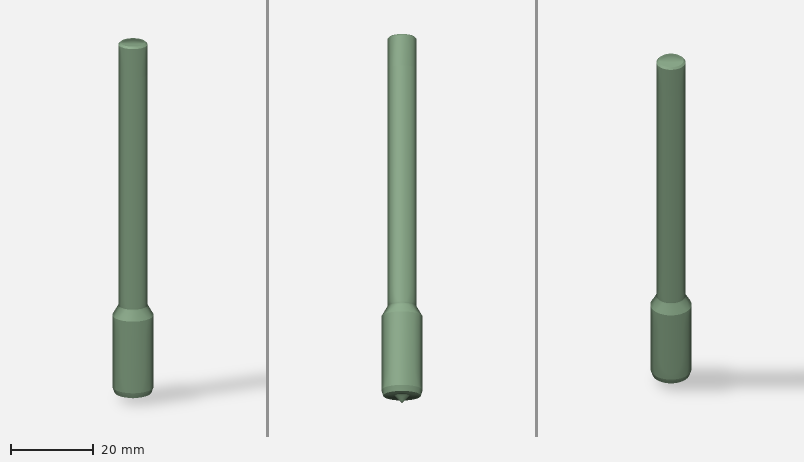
import cadquery as cq

TOTAL_LENGTH = 91.7
HEAD_RADIUS = 10.0 / 2
SHAFT_RADIUS = 7.1 / 2

POINT_HEIGHT = 1.8
POINT_RADIUS = POINT_HEIGHT

HEAD_LENGTH = 19.8
END_CHAMFER_HEIGHT = 1.4
END_CHAMFER_WIDTH = 0.5
SHOULDER_HEIGHT = 2.6

CAP_LENGTH = 8.0
CAP_CHAMFER = 0.5

HEAD_BOTTOM_Z = POINT_HEIGHT
SHOULDER_BOTTOM_Z = HEAD_BOTTOM_Z + HEAD_LENGTH
SHOULDER_TOP_Z = SHOULDER_BOTTOM_Z + SHOULDER_HEIGHT
CAP_BOTTOM_Z = TOTAL_LENGTH - CAP_LENGTH


def make_punch():
    """Revolve the point, the chamfered head, the shoulder and the shaft as one body."""
    half_profile = (
        cq.Workplane("XZ")
        .moveTo(0, 0)
        .lineTo(POINT_RADIUS, HEAD_BOTTOM_Z)
        .lineTo(HEAD_RADIUS - END_CHAMFER_WIDTH, HEAD_BOTTOM_Z)
        .lineTo(HEAD_RADIUS, HEAD_BOTTOM_Z + END_CHAMFER_HEIGHT)
        .lineTo(HEAD_RADIUS, SHOULDER_BOTTOM_Z)
        .lineTo(SHAFT_RADIUS, SHOULDER_TOP_Z)
        .lineTo(SHAFT_RADIUS, CAP_BOTTOM_Z)
        .lineTo(0, CAP_BOTTOM_Z)
        .close()
    )
    return half_profile.revolve(360, (0, 0), (0, 1))


def make_cap():
    """Cylinder flush with the shaft, resting on its end, with a chamfered top rim."""
    return (
        cq.Workplane("XY", origin=(0, 0, CAP_BOTTOM_Z))
        .circle(SHAFT_RADIUS)
        .extrude(CAP_LENGTH)
        .faces(">Z")
        .chamfer(CAP_CHAMFER)
    )


punch = make_punch()
cap = make_cap()

result = cq.Compound.makeCompound([punch.val(), cap.val()])